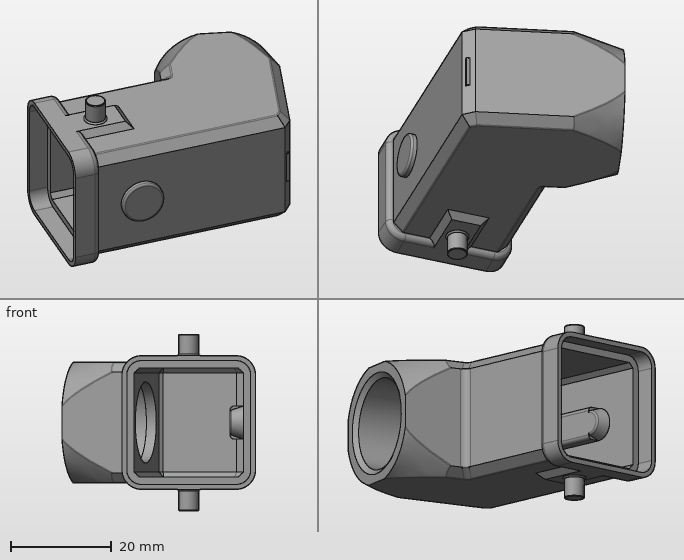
import cadquery as cq
import math


length = 54.6
width = 38.45
height = 35.0

flange_size = 26.55
flange_depth = 5.3
flange_corner_radius = 3.9
flange_rear_radius = 1.15
rim_thickness = 1.0
recess_depth = 3.9

body_half = 11.95
wall = 1.15
edge_bevel = 1.95
edge_round = 0.45
elbow_radius = 1.65
corner_cut_x = 2.2
corner_cut_y = 1.85
body_start = 0.55

cavity_half = body_half - wall
entry_corner_bevel = 0.65
far_corner_bevel_x = 1.3
far_corner_bevel_y = 0.55
cavity_edge_bevel = 1.0

tilt = math.radians(15)
entry_wall = 14.05
cone_start_radius = 12.4
cone_length = 10.2
cone_edge_round = 0.35

bore_diameter = 18.45
bore_depth = 12.0
bore_mouth_diameter = 20.55
bore_mouth_depth = 0.9
passage_diameter = 16.05

pad_width = 8.75
pad_end = 15.85
pin_diameter = 4.0
pin_y = 9.35
pin_root_radius = 0.35
pin_tip_chamfer = 0.15

button_y = 14.6
button_diameter = 8.75
button_face_x = 13.15
button_round = 0.45
stud_y = 13.85
stud_tip_diameter = 4.8
stud_round = 0.45
rail_face_x = 8.2
rail_width = 6.55
rail_round = 0.8

clearance = 5.45

flange_half = flange_size / 2
axis_x = math.cos(tilt)
axis_y = -math.sin(tilt)

entry_x = flange_half - width + body_half * math.sin(tilt)
entry_y = length - body_half * math.cos(tilt)


def head_point(depth, offset):
    """XY point at a depth along the head axis and an offset to its +Y side."""
    x = entry_x + depth * axis_x - offset * axis_y
    y = entry_y + depth * axis_y + offset * axis_x
    return (x, y)


def head_depth_at_x(x, offset):
    """Depth at which the line parallel to the head axis reaches a given X."""
    return (x - entry_x + offset * axis_y) / axis_x


def make_body():
    elbow = head_point(head_depth_at_x(-body_half, -body_half), -body_half)
    cut_x = body_half - corner_cut_x
    cut_start = head_point(head_depth_at_x(cut_x, body_half), body_half)
    outline = [
        (-body_half, body_start),
        elbow,
        head_point(-clearance, -body_half),
        head_point(-clearance, body_half),
        cut_start,
        (body_half, cut_start[1] - corner_cut_y),
        (body_half, body_start),
    ]
    body = cq.Workplane("XY").polyline(outline).close().extrude(body_half, both=True)
    body = body.faces("<Z or >Z").edges().chamfer(edge_bevel)
    bevel_middle = body_half - edge_bevel / 2
    mitre_x = elbow[0] + edge_bevel / 2
    mitre_y = elbow[1] + edge_bevel / 2
    upright = cq.NearestToPointSelector((*elbow, 0))
    upper = cq.NearestToPointSelector((mitre_x, mitre_y, bevel_middle))
    lower = cq.NearestToPointSelector((mitre_x, mitre_y, -bevel_middle))
    body = body.edges(upright + upper + lower).fillet(elbow_radius)
    body = body.faces("<Z or >Z").edges().fillet(edge_round).cut(make_head_trim())
    return body.faces("%CONE").edges("%HYPERBOLA").fillet(cone_edge_round)


def make_head_trim():
    """Everything outside the cone at the entry, and beyond the entry face."""
    outer = 2 * body_half
    cone_end_radius = math.hypot(body_half, body_half - edge_bevel)
    profile = [
        (0, -2 * clearance),
        (outer, -2 * clearance),
        (outer, cone_length),
        (cone_end_radius, cone_length),
        (cone_start_radius, 0),
        (0, 0),
    ]
    plane = cq.Plane(origin=(entry_x, entry_y, 0), xDir=(0, 0, 1), normal=(-axis_y, axis_x, 0))
    return cq.Workplane(plane).polyline(profile).close().revolve(360, (0, 0), (0, 1))


def make_flange():
    flange = cq.Workplane("XZ").rect(flange_size, flange_size).extrude(-flange_depth)
    flange = flange.edges("|Y").fillet(flange_corner_radius)
    return flange.faces(">Y").edges().fillet(flange_rear_radius)


def make_recess():
    size = flange_size - 2 * rim_thickness
    recess = cq.Workplane("XZ").rect(size, size).extrude(-recess_depth)
    return recess.edges("|Y").fillet(flange_corner_radius - rim_thickness)


def make_cavity():
    entry_corner = head_point(entry_wall, cavity_half)
    far_corner = head_point(head_depth_at_x(cavity_half, cavity_half), cavity_half)
    bevel_x = cavity_half - far_corner_bevel_x
    bend_offset = (-cavity_half - entry_x - entry_wall * axis_x) / -axis_y
    outline = [
        (-cavity_half, -clearance),
        head_point(entry_wall, bend_offset),
        entry_corner,
        head_point(head_depth_at_x(bevel_x, cavity_half), cavity_half),
        (cavity_half, far_corner[1] - far_corner_bevel_y),
        (cavity_half, -clearance),
    ]
    cavity = cq.Workplane("XY").polyline(outline).close().extrude(cavity_half, both=True)
    cavity = cavity.edges(cq.NearestToPointSelector((*entry_corner, 0))).chamfer(entry_corner_bevel)
    return cavity.faces("<Z or >Z").edges().chamfer(cavity_edge_bevel)


def make_bore():
    plane = cq.Plane(origin=(entry_x, entry_y, 0), xDir=(0, 0, 1), normal=(axis_x, axis_y, 0))
    mouth = (
        cq.Workplane(plane).circle(bore_mouth_diameter / 2)
        .workplane(offset=bore_mouth_depth).circle(bore_diameter / 2).loft()
    )
    bore = cq.Workplane(plane).circle(bore_diameter / 2).extrude(bore_depth)
    passage = cq.Workplane(plane).circle(passage_diameter / 2).extrude(entry_wall + wall)
    return mouth.union(bore).union(passage)


def make_pad_and_pin():
    """Sloped pad flush with the flange and its pin, on the +Z side."""
    slope = flange_half - body_half
    pad_length = pad_end - body_start
    pad = (
        cq.Workplane("XY", origin=(0, body_start + pad_length / 2, body_half - wall / 2))
        .rect(pad_width, pad_length).extrude(slope + wall / 2)
    )
    pad = pad.faces(">Z").edges("<X or >X or >Y").chamfer(slope)
    pin = cq.Workplane("XY", origin=(0, pin_y, body_half)).circle(pin_diameter / 2)
    pin = pin.extrude(height / 2 - body_half).faces(">Z").chamfer(pin_tip_chamfer)
    root_radius = pin_diameter / 2 + pin_root_radius
    root = cq.Workplane("XY", origin=(0, pin_y, flange_half)).circle(root_radius)
    root = root.workplane(offset=pin_root_radius).circle(pin_diameter / 2).loft()
    return pad.union(pin).union(root)


def make_button():
    wall_middle = (body_half + cavity_half) / 2
    button = cq.Workplane("YZ", origin=(wall_middle, button_y, 0)).circle(button_diameter / 2)
    button = button.extrude(button_face_x - wall_middle)
    return button.faces(">X").edges().fillet(button_round)


def make_stud_and_rail():
    """Rail along the inside of the +X wall, ending in a tapered round stud."""
    reach = cavity_half - rail_face_x
    stud = (
        cq.Workplane("YZ", origin=(cavity_half, stud_y, 0)).circle(rail_width / 2)
        .workplane(offset=-reach).circle(stud_tip_diameter / 2).loft()
    )
    stud = stud.faces("<X").edges().fillet(stud_round)
    root = cq.Workplane("YZ", origin=(cavity_half, stud_y, 0)).circle(rail_width / 2).extrude(wall / 2)
    rail_end = head_point(head_depth_at_x(rail_face_x, cavity_half), cavity_half)[1]
    rail_length = rail_end - stud_y
    rail_depth = reach + wall / 2
    rail = cq.Workplane("XY").box(rail_depth, rail_length, rail_width)
    rail = rail.edges("<X and |Y").fillet(rail_round)
    rail = rail.translate((rail_face_x + rail_depth / 2, stud_y + rail_length / 2, 0))
    return stud.union(root).union(rail)


pad_and_pin = make_pad_and_pin()
result = make_body().union(make_flange())
result = result.union(pad_and_pin).union(pad_and_pin.mirror("XY")).union(make_button())
result = result.cut(make_recess()).cut(make_cavity()).cut(make_bore())
result = result.union(make_stud_and_rail())